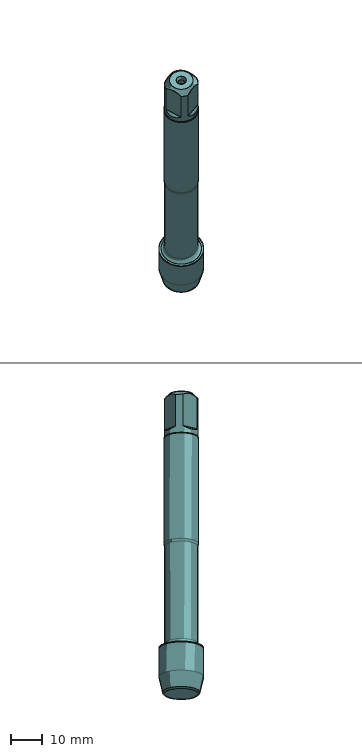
import cadquery as cq
import math

total_length = 100.0
head_height = 15.0

head_radius = 14.2 / 2
lead_height = 5.6
lead_tip_radius = 5.9
lead_tip_z = 0.5
end_face_radius = 5.4

collar_thickness = 0.3
flare_arc_radius = 1.5
flare_width = 1.1
neck_radius = 10.6 / 2
neck_end_z = 49.3
shank_radius = 11.0 / 2
shank_start_z = 50.2
shank_end_z = 85.7
shank_end_bevel_height = 0.3
drive_radius = 10.7 / 2
drive_chamfer = 1.6

square_width = 9.0
square_length = 12.0

center_hole_radius = 2.0 / 2
center_hole_depth = 3.0
countersink_radius = 1.6
countersink_half_angle = 30.0
drill_point_half_angle = 60.0


def cone_height(radius_change, half_angle):
    """Axial length over which a cone changes radius by the given amount."""
    return radius_change / math.tan(math.radians(half_angle))


def revolve_profile(points):
    """Revolve an outline of (radius, z) points about the Z axis."""
    return cq.Workplane("XZ").polyline(points).close().revolve(360, (0, 0), (0, 1))


def make_head():
    """Tapered cutting head with a beveled tip."""
    return revolve_profile([
        (0, 0),
        (end_face_radius, 0),
        (lead_tip_radius, lead_tip_z),
        (head_radius, lead_height),
        (head_radius, head_height),
        (0, head_height),
    ])


def make_shank_blank():
    """Round stepped shank with a thin collar on the head and a concave flare up to the neck."""
    collar_top_z = head_height + collar_thickness
    flare_height = math.sqrt(flare_arc_radius**2 - (flare_arc_radius - flare_width)**2)
    outline = (
        cq.Workplane("XZ")
        .moveTo(0, head_height)
        .lineTo(head_radius, head_height)
        .lineTo(head_radius, collar_top_z)
        .lineTo(neck_radius + flare_width, collar_top_z)
        .radiusArc((neck_radius, collar_top_z + flare_height), flare_arc_radius)
        .lineTo(neck_radius, neck_end_z)
        .lineTo(shank_radius, shank_start_z)
        .lineTo(shank_radius, shank_end_z - shank_end_bevel_height)
        .lineTo(drive_radius, shank_end_z)
        .lineTo(drive_radius, total_length - drive_chamfer)
        .lineTo(drive_radius - drive_chamfer, total_length)
        .lineTo(0, total_length)
        .close()
    )
    return outline.revolve(360, (0, 0), (0, 1))


def make_drive_waste():
    """Material around the square drive, removed to leave four flats with 45 degree run-outs."""
    half_width = square_width / 2
    flat_bottom_z = total_length - square_length
    run_out = shank_radius - half_width
    ring = (
        cq.Workplane("XY")
        .workplane(offset=flat_bottom_z - run_out)
        .circle(head_radius)
        .extrude(square_length + run_out)
    )
    square = (
        cq.Workplane("XY")
        .workplane(offset=flat_bottom_z)
        .rect(square_width, square_width)
        .extrude(square_length)
    )
    flare = (
        cq.Workplane("XY")
        .workplane(offset=flat_bottom_z - run_out)
        .rect(2 * shank_radius, 2 * shank_radius)
        .workplane(offset=run_out)
        .rect(square_width, square_width)
        .loft(ruled=True)
    )
    return ring.cut(square).cut(flare)


def make_center_hole():
    """Countersunk center hole with a drill point."""
    countersink_depth = cone_height(countersink_radius - center_hole_radius, countersink_half_angle)
    bottom_z = total_length - center_hole_depth
    point_z = bottom_z - cone_height(center_hole_radius, drill_point_half_angle)
    return revolve_profile([
        (0, point_z),
        (center_hole_radius, bottom_z),
        (center_hole_radius, total_length - countersink_depth),
        (countersink_radius, total_length),
        (0, total_length),
    ])


head = make_head()
shank = make_shank_blank().cut(make_drive_waste()).cut(make_center_hole())

result = cq.Compound.makeCompound([head.val(), *shank.solids().vals()])